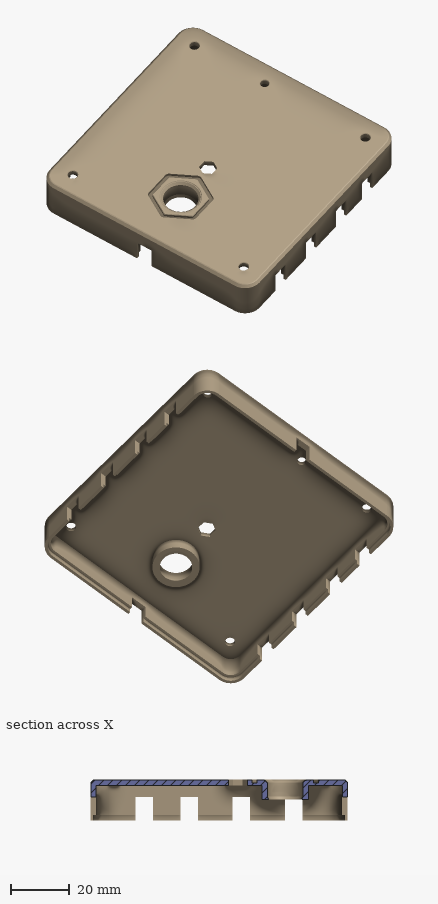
import cadquery as cq
import math

board_size = 81.28
board_clearance = 1.0
board_hole_inset = 5.08

wall = 2.0
height = 14.0
cavity_size = board_size + 2 * board_clearance
outer_size = cavity_size + 2 * wall
outer_radius = 6.0
cavity_radius = outer_radius - wall
cavity_height = height - wall
rim_chamfer = 1.0
edge_break = 0.2

rebate_wall = 1.0
rebate_height = 2.0
rebate_size = outer_size - 2 * rebate_wall
rebate_radius = outer_radius - rebate_wall

notch_width = 6.0
notch_height = 8.0
row_notch_places = (-25.3, -7.5, 10.1, 25.3)
cross_notch_place = 0.0
through_length = 2 * outer_size

screw_diameter = 3.4
screw_offset = board_size / 2 - board_hole_inset
small_hole_diameter = 3.0
small_hole_x = -6.35

button_y = -22.35
button_bore_diameter = 12.0
button_lip_diameter = 11.0
button_lip_height = 1.0
button_boss_diameter = button_bore_diameter + 2 * wall
button_boss_bottom = 7.25
button_chamfer = 1.0
button_mouth_diameter = button_bore_diameter + 2 * button_chamfer

island_flats = 16.8
groove_width = 1.45
groove_depth = 1.0
hex_hole_flats = 5.4
hex_hole_to_button = 16.0
hex_hole_y = button_y + hex_hole_to_button


def rounded_block(size, radius, block_height):
    """Square block standing on Z = 0 with rounded vertical edges."""
    block = cq.Workplane("XY").rect(size, size).extrude(block_height)
    return block.edges("|Z").fillet(radius)


def cylinder(x, y, diameter, bottom, top):
    """Upright cylinder between two heights."""
    return cq.Workplane("XY", origin=(x, y, bottom)).circle(diameter / 2).extrude(top - bottom)


def cone(x, y, bottom_diameter, top_diameter, bottom, top):
    """Upright truncated cone between two heights."""
    base = cq.Workplane("XY", origin=(x, y, bottom)).circle(bottom_diameter / 2)
    return base.workplane(offset=top - bottom).circle(top_diameter / 2).loft()


def countersink(x, y, diameter, size):
    """Cone that chamfers the top edge of a round hole by the given size."""
    return cone(x, y, diameter, diameter + 2 * size, height - size, height)


def cut_round_hole(body, x, y, diameter):
    """Drill a hole through the top plate and break its top edge."""
    body = body.cut(cylinder(x, y, diameter, cavity_height, height))
    return body.cut(countersink(x, y, diameter, edge_break))


def hexagon(y, flats, bottom):
    """Outline of a hexagon on X = 0 with corners pointing to +Y and -Y."""
    corner_diameter = flats / math.cos(math.pi / 6)
    plane = cq.Plane(origin=(0, y, bottom), xDir=(0, 1, 0), normal=(0, 0, 1))
    return cq.Workplane(plane).polygon(6, corner_diameter)


def make_shell():
    """Open-bottomed cover with a twice-chamfered top rim and a stepped wall."""
    shell = rounded_block(outer_size, outer_radius, height)
    shell = shell.faces(">Z").edges().chamfer(rim_chamfer)
    shell = shell.faces(">Z").edges().chamfer(edge_break)
    shell = shell.cut(rounded_block(cavity_size, cavity_radius, cavity_height))
    return shell.cut(rounded_block(rebate_size, rebate_radius, rebate_height))


def cut_notches(body):
    """Cut the cable notches through opposite pairs of walls."""
    on_ground = (True, True, False)
    for y in row_notch_places:
        notch = cq.Workplane("XY").box(through_length, notch_width, notch_height, centered=on_ground)
        body = body.cut(notch.translate((0, y, 0)))
    notch = cq.Workplane("XY").box(notch_width, through_length, notch_height, centered=on_ground)
    return body.cut(notch.translate((cross_notch_place, 0, 0)))


def cut_plate_holes(body):
    """Drill the four corner screw holes, the small hole and the hexagonal hole."""
    for x in (-screw_offset, screw_offset):
        for y in (-screw_offset, screw_offset):
            body = cut_round_hole(body, x, y, screw_diameter)
    body = cut_round_hole(body, small_hole_x, screw_offset, small_hole_diameter)
    return body.cut(hexagon(hex_hole_y, hex_hole_flats, cavity_height).extrude(wall))


def add_button_well(body):
    """Add the button boss and bore it, leaving a tapered lip at its lower end."""
    body = body.union(cylinder(0, button_y, button_boss_diameter, button_boss_bottom, height))
    lip_top = button_boss_bottom + button_lip_height
    taper = cone(0, button_y, button_lip_diameter, button_bore_diameter, button_boss_bottom, lip_top)
    bore = cylinder(0, button_y, button_bore_diameter, lip_top, height)
    body = body.cut(taper).cut(bore)
    body = body.cut(countersink(0, button_y, button_bore_diameter, button_chamfer))
    return body.cut(countersink(0, button_y, button_mouth_diameter, edge_break))


def cut_button_groove(body):
    """Cut the hexagonal groove with rounded outer corners around a chamfered island."""
    groove_bottom = height - groove_depth
    island = hexagon(button_y, island_flats, groove_bottom).extrude(groove_depth)
    island = island.faces(">Z").edges().chamfer(edge_break)
    outside = hexagon(button_y, island_flats, groove_bottom).offset2D(groove_width, "arc")
    return body.cut(outside.extrude(groove_depth).cut(island))


cover = cut_notches(make_shell())
cover = add_button_well(cover)
cover = cut_plate_holes(cover)
result = cut_button_groove(cover)